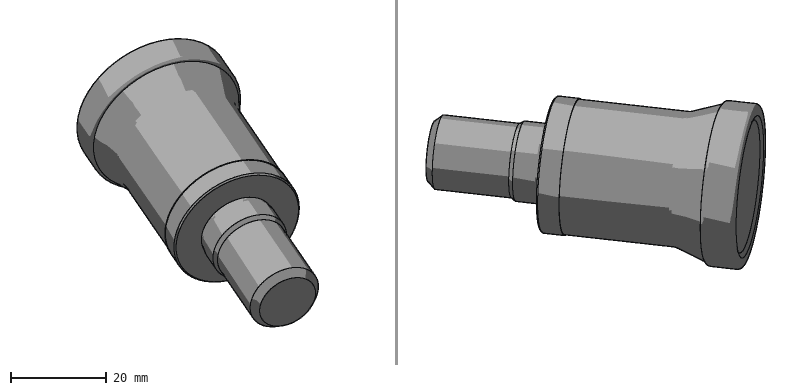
import cadquery as cq
import math

length = 68.0
ring_width = 7.4
flare_end = 14.3
collar_start = 38.0
collar_end = 42.9
relief_end = 43.5
shoulder_start = 44.3
shoulder_end = 49.1
stud_start = 50.05

ring_radius = 35.0 / 2
ring_fillet = 0.9
mouth_radius = 16.0
lip_radius = 15.0
lip_tilt = 6.0
seat_radius = 14.0
bevel_tilt = 30.0

dish_floor_radius = 6.05
dish_tilt = 9.0

flare_radius = 33.6 / 2
barrel_radius = 28.6 / 2
barrel_blend = 1.7
collar_radius = 29.0 / 2
collar_chamfer = 0.35
relief_radius = 8.3
shoulder_radius = 17.0 / 2
stud_radius = 15.8 / 2
stud_chamfer_length = 1.6
stud_chamfer_depth = 1.4

lip_depth = (mouth_radius - lip_radius) * math.tan(math.radians(lip_tilt))
dish_rim = lip_depth + (lip_radius - seat_radius) * math.tan(math.radians(bevel_tilt))
dish_depth = (seat_radius - dish_floor_radius) * math.tan(math.radians(dish_tilt))
dish_floor = dish_rim + dish_depth


def revolve_about_x(outline):
    """Turn a closed (x, radius) outline around the X axis."""
    return outline.close().revolve(360, (0, 0, 0), (1, 0, 0))


def make_ring():
    """Ring with rounded outer edges and a bevelled mouth."""
    bend = ring_fillet * (1 - math.sqrt(0.5))
    back_flat = ring_width - ring_fillet
    shoulder = ring_radius - ring_fillet
    return revolve_about_x(
        cq.Workplane("XY")
        .moveTo(0, mouth_radius)
        .lineTo(0, shoulder)
        .threePointArc((bend, ring_radius - bend), (ring_fillet, ring_radius))
        .lineTo(back_flat, ring_radius)
        .threePointArc((ring_width - bend, ring_radius - bend), (ring_width, shoulder))
        .lineTo(ring_width, seat_radius)
        .lineTo(dish_rim, seat_radius)
        .lineTo(lip_depth, lip_radius)
    )


def make_body():
    """Dished nose inside the ring, flared barrel, collar and stepped stud."""
    body = revolve_about_x(
        cq.Workplane("XY")
        .moveTo(dish_floor, 0)
        .lineTo(dish_floor, dish_floor_radius)
        .lineTo(dish_rim, seat_radius)
        .lineTo(ring_width, seat_radius)
        .lineTo(ring_width, flare_radius)
        .lineTo(flare_end, barrel_radius)
        .lineTo(collar_start, barrel_radius)
        .lineTo(collar_start, collar_radius)
        .lineTo(collar_end - collar_chamfer, collar_radius)
        .lineTo(collar_end, collar_radius - collar_chamfer)
        .lineTo(collar_end, relief_radius)
        .lineTo(relief_end, relief_radius)
        .lineTo(shoulder_start, shoulder_radius)
        .lineTo(shoulder_end, shoulder_radius)
        .lineTo(stud_start, stud_radius)
        .lineTo(length - stud_chamfer_length, stud_radius)
        .lineTo(length, stud_radius - stud_chamfer_depth)
        .lineTo(length, 0)
    )
    flare_corner = cq.selectors.BoxSelector(
        (flare_end - 0.1, -ring_radius, -ring_radius),
        (flare_end + 0.1, ring_radius, ring_radius),
    )
    return body.edges(flare_corner).fillet(barrel_blend)


ring = make_ring()
body = make_body()
result = cq.Compound.makeCompound([ring.val(), body.val()])